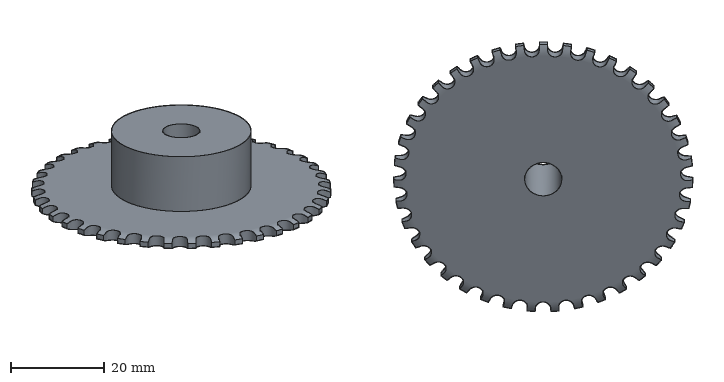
import cadquery as cq
import math

tip_radius = 32.15
plate_thickness = 2.3
total_height = 15.0
hub_diameter = 30.0
bore_diameter = 8.0

tooth_count = 39
root_radius = 29.5
seat_radius = 1.6
face_radius = 29.7
tip_drop = 0.6
gap_overrun = 0.65

tooth_angle = 360 / tooth_count
seat_centre_radius = root_radius + seat_radius


def plate():
    """Disc whose rim narrows to the tip with arcs tangent to the two flat faces."""
    rim_width = tip_radius - face_radius
    arc_radius = (rim_width**2 + tip_drop**2) / (2 * tip_drop)
    half_angle = math.asin(rim_width / arc_radius) / 2
    mid_r = face_radius + arc_radius * math.sin(half_angle)
    mid_drop = arc_radius * (1 - math.cos(half_angle))
    return (
        cq.Workplane("XZ")
        .lineTo(face_radius, 0)
        .threePointArc((mid_r, mid_drop), (tip_radius, tip_drop))
        .lineTo(tip_radius, plate_thickness - tip_drop)
        .threePointArc((mid_r, plate_thickness - mid_drop), (face_radius, plate_thickness))
        .lineTo(0, plate_thickness)
        .close()
        .revolve(360, (0, 0), (0, 1))
    )


def tooth_gap():
    """Cutter on -Y: a round roller seat opening into flanks parallel to the neighbouring tooth axes."""
    flank_tilt = math.radians(tooth_angle / 2)
    seat_half_width = seat_radius * math.cos(flank_tilt)
    seat_end_y = -seat_centre_radius + seat_radius * math.sin(flank_tilt)
    mouth_y = -tip_radius - gap_overrun
    mouth_half_width = seat_half_width + (seat_end_y - mouth_y) * math.tan(flank_tilt)
    return (
        cq.Workplane("XY")
        .moveTo(-mouth_half_width, mouth_y)
        .lineTo(-seat_half_width, seat_end_y)
        .threePointArc((0, -root_radius), (seat_half_width, seat_end_y))
        .lineTo(mouth_half_width, mouth_y)
        .close()
        .extrude(plate_thickness)
    )


def toothed_plate():
    """Plate with evenly spaced gaps; the odd tooth count leaves a tooth pointing to +Y."""
    gap = tooth_gap()
    body = plate()
    for index in range(tooth_count):
        body = body.cut(gap.rotate((0, 0, 0), (0, 0, 1), index * tooth_angle))
    return body


hub = cq.Workplane("XY").circle(hub_diameter / 2).extrude(total_height)
bore = cq.Workplane("XY").circle(bore_diameter / 2).extrude(total_height)

result = toothed_plate().union(hub).cut(bore)